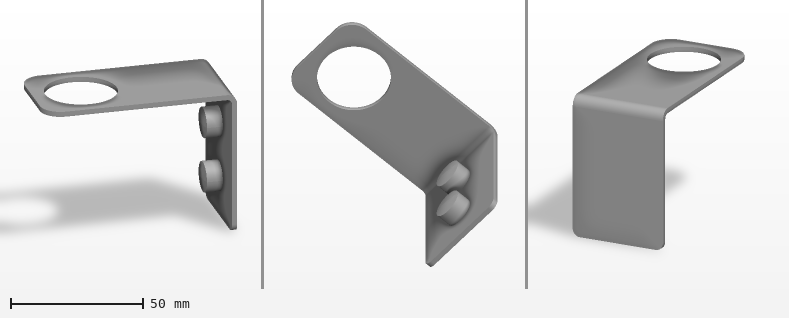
import cadquery as cq

width = 38.0
shelf_length = 75.0
leg_height = 56.0
thickness = 2.0
bend_inner_radius = 1.95
bend_outer_radius = bend_inner_radius + thickness
shelf_corner_radius = 8.0
leg_corner_radius = 3.0

opening_diameter = 28.0
opening_y = -shelf_length + width / 2

stud_diameter = 12.0
stud_side_length = 6.2
dome_height = 0.8
upper_stud_depth = 18.0
stud_spacing = 22.05
stud_count = 2


def make_bracket():
    """Bent strip with rounded free corners and a round opening in the shelf."""
    profile = (
        cq.Workplane("YZ")
        .polyline([
            (0, 0),
            (0, -leg_height),
            (-thickness, -leg_height),
            (-thickness, -thickness),
            (-shelf_length, -thickness),
            (-shelf_length, 0),
        ])
        .close()
    )
    bracket = profile.extrude(width / 2, both=True)

    bracket = bracket.edges("|X and >Y and >Z").fillet(bend_outer_radius)
    inner_corner = cq.selectors.NearestToPointSelector((0, -thickness, -thickness))
    bracket = bracket.edges("|X").edges(inner_corner).fillet(bend_inner_radius)

    bracket = bracket.faces("<Y").edges("|Z").fillet(shelf_corner_radius)
    bracket = bracket.faces("<Z").edges("|Y").fillet(leg_corner_radius)

    opening = (
        cq.Workplane("XY")
        .center(0, opening_y)
        .circle(opening_diameter / 2)
        .extrude(-thickness)
    )
    return bracket.cut(opening)


def make_stud_half(depth, turn):
    """Half of a cylindrical stud with a shallow spherical end.

    The stud axis lies `depth` below the top face; `turn` is the half's angle about that axis.
    """
    radius = stud_diameter / 2
    dome_radius = (radius**2 + dome_height**2) / (2 * dome_height)
    arc_middle_x = radius / 2
    sphere_centre = stud_side_length + dome_height - dome_radius
    arc_middle_y = sphere_centre + (dome_radius**2 - arc_middle_x**2) ** 0.5
    half = (
        cq.Workplane("XY")
        .lineTo(radius, 0)
        .lineTo(radius, stud_side_length)
        .threePointArc((arc_middle_x, arc_middle_y), (0, stud_side_length + dome_height))
        .close()
        .revolve(180, (0, 0), (0, 1))
    )
    half = half.rotate((0, 0, 0), (0, 1, 0), turn)
    half = half.rotate((0, 0, 0), (0, 0, 1), 180)
    return half.translate((0, -thickness, -depth))


bracket = make_bracket()
stud_halves = [
    make_stud_half(upper_stud_depth + i * stud_spacing, turn)
    for i in range(stud_count)
    for turn in (0, 180)
]

result = cq.Compound.makeCompound([bracket.val(), *[half.val() for half in stud_halves]])